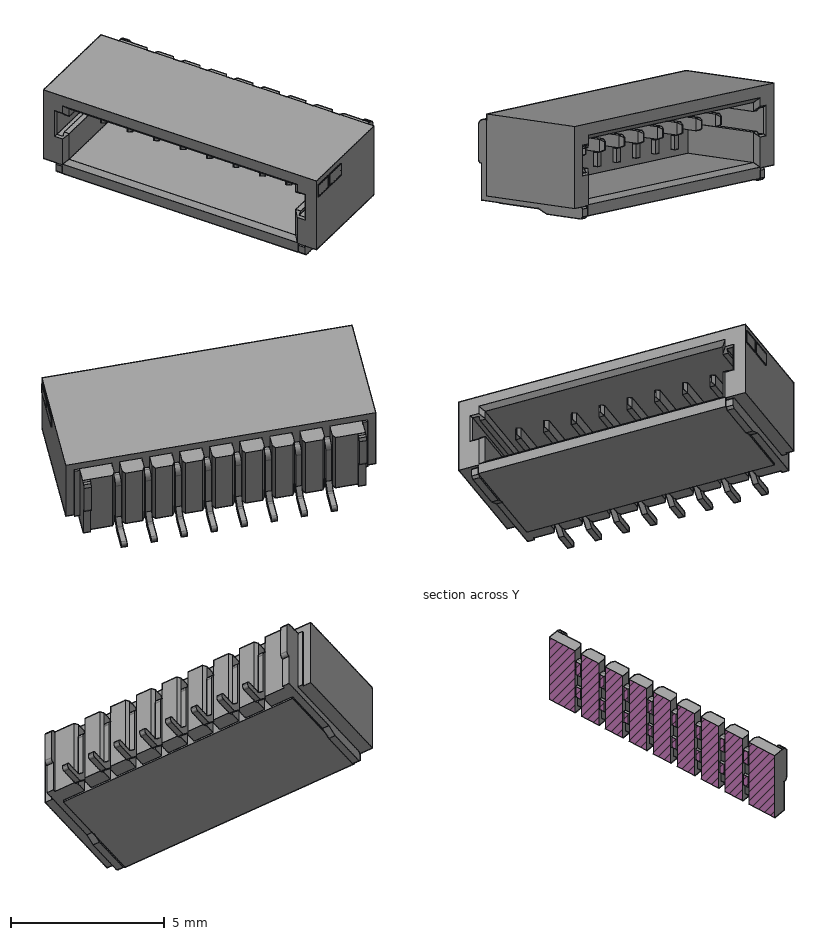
import cadquery as cq
import math


OVERALL_WIDTH = 10.36
PAD_RAISE = 0.03
HOUSING_WIDTH = OVERALL_WIDTH - PAD_RAISE
HALF_WIDTH = HOUSING_WIDTH / 2
HOUSING_DEPTH = 3.69
TOP_Z = 3.14
SIDE_BOTTOM_Z = 0.42
FLOOR_BOTTOM_Z = 0.08

CAVITY_INSET = 0.88
CAVITY_BOTTOM_Z = 0.61
CAVITY_TOP_Z = 2.6
CAVITY_DEPTH = 2.9
CAVITY_FLARE = 0.16

GUIDE_Z = 1.96
GUIDE_INSET = 0.48
GUIDE_HEIGHT = 0.89
GUIDE_FLARE = 0.06
NECK_INSET = 0.69
NECK_HEIGHT = 0.68

PAD_SPANS = [(0.08, 0.74), (0.8, 1.54)]
PAD_BOTTOM_Z = 2.48
PAD_TOP_Z = 2.93

BLOCK_REAR_Y = 4.19
BLOCK_TOP_Z = 2.84
BLOCK_BOTTOM_Z = 0.16
NOTCH_WIDTH = 0.26
NOTCH_CHAMFER_X = 0.08
NOTCH_CHAMFER_Y = 0.12

FITTING_INSET = 0.46
FITTING_WIDTH = 0.25
FITTING_FRONT_Y = 0.03
FITTING_TOP_Z = BLOCK_TOP_Z - 0.01
FITTING_FOOT_Y = 1.53
FITTING_RAMP_Y = 1.91
FITTING_LEG_Y = 4.28
FITTING_REAR_Y = 4.4
FITTING_STEP_Z = 1.38
FITTING_TOP_BEVEL = 0.15
FITTING_BEVEL_CREST_DROP = 0.04
FITTING_STEP_RADIUS = 0.12
FITTING_TOE_CHAMFER = 0.08
FLANGE_INSET = 0.28
FLANGE_THICKNESS = 0.06

CONTACT_COUNT = 8
CONTACT_ROW_LENGTH = 7.0
CONTACT_PITCH = CONTACT_ROW_LENGTH / (CONTACT_COUNT - 1)
CONTACT_WIDTH = 0.2
TAIL_END_Y = 5.05
TAIL_THICKNESS = 0.24
TAIL_END_RADIUS = 0.09
TAIL_BEND_BOTTOM_Y = 4.3
TAIL_BEND_TOP_Y = 4.39
TAIL_BEND_RADIUS = 0.09
LEG_REAR_Y = 4.12
LEG_FRONT_Y = 3.86
LEG_REAR_RADIUS = LEG_REAR_Y - LEG_FRONT_Y
LEG_FRONT_RADIUS = LEG_FRONT_Y - HOUSING_DEPTH
PIN_BOTTOM_Z = 1.82
PIN_TOP_Z = 2.24
LEG_TOP_Z = PIN_TOP_Z + LEG_FRONT_RADIUS
PIN_SHOULDER_Y = 1.04
PIN_TIP_LENGTH = 0.16
PIN_TIP_WIDTH = 0.04
PIN_TIP_HEIGHT = 0.27
STUB_BOTTOM_Z = 0.86
STUB_TOP_Z = 1.33
STUB_FRONT_Y = 2.75


def block(x_range, y_range, z_range):
    """Box between the given pairs of limits."""
    limits = (x_range, y_range, z_range)
    size = [high - low for low, high in limits]
    corner = [low for low, high in limits]
    return cq.Workplane("XY").box(*size, centered=False).translate(tuple(corner))


def taper(x, z, front_y, front_size, rear_y, rear_size):
    """Solid along +Y whose rectangular section changes from front_size to rear_size."""
    return (
        cq.Workplane("XZ", origin=(x, front_y, z))
        .rect(*front_size)
        .workplane(offset=front_y - rear_y)
        .rect(*rear_size)
        .loft()
    )


def flared_opening(width, height, z, flare):
    """Rectangular cut as deep as the cavity with a 45 degree flare at the mating face."""
    straight = block((-width / 2, width / 2), (0, CAVITY_DEPTH), (z - height / 2, z + height / 2))
    mouth = taper(0, z, 0, (width + 2 * flare, height + 2 * flare), flare, (width, height))
    return straight.union(mouth)


def make_shell():
    shell = block((-HALF_WIDTH, HALF_WIDTH), (0, HOUSING_DEPTH), (SIDE_BOTTOM_Z, TOP_Z))
    floor_half = HALF_WIDTH - FITTING_INSET - FITTING_WIDTH
    floor_z = (FLOOR_BOTTOM_Z, CAVITY_BOTTOM_Z - CAVITY_FLARE)
    shell = shell.union(block((-floor_half, floor_half), (0, HOUSING_DEPTH), floor_z))

    cavity = flared_opening(
        HOUSING_WIDTH - 2 * CAVITY_INSET,
        CAVITY_TOP_Z - CAVITY_BOTTOM_Z,
        (CAVITY_TOP_Z + CAVITY_BOTTOM_Z) / 2,
        CAVITY_FLARE,
    )
    neck_width = HOUSING_WIDTH - 2 * NECK_INSET
    neck_flare = (GUIDE_HEIGHT - NECK_HEIGHT) / 2 + GUIDE_FLARE
    neck = block(
        (-neck_width / 2, neck_width / 2),
        (0, CAVITY_DEPTH),
        (GUIDE_Z - NECK_HEIGHT / 2, GUIDE_Z + NECK_HEIGHT / 2),
    )
    neck_mouth = taper(
        0, GUIDE_Z, 0, (neck_width, NECK_HEIGHT + 2 * neck_flare), neck_flare, (neck_width, NECK_HEIGHT)
    )
    guide_width = HOUSING_WIDTH - 2 * GUIDE_INSET
    guide_mouth = taper(
        0,
        GUIDE_Z,
        0,
        (guide_width + 2 * GUIDE_FLARE, GUIDE_HEIGHT + 2 * GUIDE_FLARE),
        GUIDE_FLARE,
        (guide_width, GUIDE_HEIGHT),
    )
    shell = shell.cut(cavity).cut(neck).cut(neck_mouth).cut(guide_mouth)

    guide = block(
        (-guide_width / 2, -neck_width / 2),
        (0, CAVITY_DEPTH),
        (GUIDE_Z - GUIDE_HEIGHT / 2, GUIDE_Z + GUIDE_HEIGHT / 2),
    )
    return shell.cut(guide).cut(guide.mirror("YZ"))


def make_pads():
    x_range = (HALF_WIDTH - PAD_RAISE, HALF_WIDTH + PAD_RAISE)
    pads = cq.Workplane("XY")
    for span in PAD_SPANS:
        pads = pads.union(block(x_range, span, (PAD_BOTTOM_Z, PAD_TOP_Z)))
    return pads


def make_rear_block(contact_xs):
    half = HALF_WIDTH - FITTING_INSET
    rear = block((-half, half), (HOUSING_DEPTH, BLOCK_REAR_Y), (BLOCK_BOTTOM_Z, BLOCK_TOP_Z))
    notch_half = NOTCH_WIDTH / 2
    mouth_half = notch_half + NOTCH_CHAMFER_X
    throat_y = BLOCK_REAR_Y - NOTCH_CHAMFER_Y
    notch = (
        cq.Workplane("XY", origin=(0, 0, BLOCK_BOTTOM_Z))
        .polyline(
            [
                (-notch_half, HOUSING_DEPTH),
                (notch_half, HOUSING_DEPTH),
                (notch_half, throat_y),
                (mouth_half, BLOCK_REAR_Y),
                (-mouth_half, BLOCK_REAR_Y),
                (-notch_half, throat_y),
            ]
        )
        .close()
        .extrude(BLOCK_TOP_Z - BLOCK_BOTTOM_Z)
    )
    for x in contact_xs:
        rear = rear.cut(notch.translate((x, 0, 0)))
    return rear


def make_left_fitting():
    """Hold-down at the -X end: a foot strip under the end wall and an upright behind it."""
    left_x = -HALF_WIDTH + FITTING_INSET
    toe = FITTING_TOE_CHAMFER
    strip_and_upright = (
        cq.Workplane("YZ", origin=(left_x, 0, 0))
        .moveTo(FITTING_FRONT_Y + toe, 0)
        .lineTo(FITTING_FOOT_Y, 0)
        .lineTo(FITTING_RAMP_Y, BLOCK_BOTTOM_Z)
        .lineTo(FITTING_LEG_Y, BLOCK_BOTTOM_Z)
        .lineTo(FITTING_LEG_Y, FITTING_STEP_Z)
        .radiusArc((FITTING_REAR_Y, FITTING_STEP_Z + FITTING_STEP_RADIUS), -FITTING_STEP_RADIUS)
        .lineTo(FITTING_REAR_Y, FITTING_TOP_Z - FITTING_TOP_BEVEL)
        .lineTo(FITTING_REAR_Y - FITTING_TOP_BEVEL / 2, FITTING_TOP_Z - FITTING_BEVEL_CREST_DROP)
        .lineTo(FITTING_REAR_Y - FITTING_TOP_BEVEL, FITTING_TOP_Z)
        .lineTo(HOUSING_DEPTH, FITTING_TOP_Z)
        .lineTo(HOUSING_DEPTH, SIDE_BOTTOM_Z)
        .lineTo(FITTING_FRONT_Y + toe, SIDE_BOTTOM_Z)
        .lineTo(FITTING_FRONT_Y, SIDE_BOTTOM_Z - toe)
        .lineTo(FITTING_FRONT_Y, toe)
        .close()
        .extrude(FITTING_WIDTH)
    )
    flange = block(
        (-HALF_WIDTH + FLANGE_INSET, left_x + FITTING_WIDTH),
        (HOUSING_DEPTH, HOUSING_DEPTH + FLANGE_THICKNESS),
        (SIDE_BOTTOM_Z, FITTING_TOP_Z),
    )
    return strip_and_upright.union(flange)


def make_contact():
    """Contact at x = 0: solder tail, upright leg, pointed mating pin and a short lower stub."""
    bend_tangent = TAIL_BEND_RADIUS * math.tan(math.radians(22.5))
    bend_offset = bend_tangent * math.sin(math.radians(45))
    bend_rise = TAIL_BEND_TOP_Y - LEG_REAR_Y
    bend_run = TAIL_BEND_BOTTOM_Y - LEG_FRONT_Y
    frame = (
        cq.Workplane("YZ", origin=(-CONTACT_WIDTH / 2, 0, 0))
        .moveTo(TAIL_BEND_BOTTOM_Y, 0)
        .lineTo(TAIL_END_Y - TAIL_END_RADIUS, 0)
        .radiusArc((TAIL_END_Y, TAIL_END_RADIUS), -TAIL_END_RADIUS)
        .lineTo(TAIL_END_Y, TAIL_THICKNESS - TAIL_END_RADIUS)
        .radiusArc((TAIL_END_Y - TAIL_END_RADIUS, TAIL_THICKNESS), -TAIL_END_RADIUS)
        .lineTo(TAIL_BEND_TOP_Y + bend_tangent, TAIL_THICKNESS)
        .radiusArc((TAIL_BEND_TOP_Y - bend_offset, TAIL_THICKNESS + bend_offset), TAIL_BEND_RADIUS)
        .lineTo(LEG_REAR_Y, TAIL_THICKNESS + bend_rise)
        .lineTo(LEG_REAR_Y, LEG_TOP_Z - LEG_REAR_RADIUS)
        .radiusArc((LEG_FRONT_Y, LEG_TOP_Z), -LEG_REAR_RADIUS)
        .radiusArc((HOUSING_DEPTH, PIN_TOP_Z), -LEG_FRONT_RADIUS)
        .lineTo(PIN_SHOULDER_Y, PIN_TOP_Z)
        .lineTo(PIN_SHOULDER_Y, PIN_BOTTOM_Z)
        .lineTo(LEG_FRONT_Y, PIN_BOTTOM_Z)
        .lineTo(LEG_FRONT_Y, STUB_TOP_Z)
        .lineTo(STUB_FRONT_Y, STUB_TOP_Z)
        .lineTo(STUB_FRONT_Y, STUB_BOTTOM_Z)
        .lineTo(LEG_FRONT_Y, STUB_BOTTOM_Z)
        .lineTo(LEG_FRONT_Y, bend_run)
        .close()
        .extrude(CONTACT_WIDTH)
    )
    tip = taper(
        0,
        (PIN_BOTTOM_Z + PIN_TOP_Z) / 2,
        PIN_SHOULDER_Y - PIN_TIP_LENGTH,
        (PIN_TIP_WIDTH, PIN_TIP_HEIGHT),
        PIN_SHOULDER_Y,
        (CONTACT_WIDTH, PIN_TOP_Z - PIN_BOTTOM_Z),
    )
    return frame.union(tip)


contact_xs = [i * CONTACT_PITCH - CONTACT_ROW_LENGTH / 2 for i in range(CONTACT_COUNT)]

result = make_shell().union(make_pads()).union(make_rear_block(contact_xs))

left_fitting = make_left_fitting()
result = result.union(left_fitting).union(left_fitting.mirror("YZ"))

contact = make_contact()
for x in contact_xs:
    result = result.union(contact.translate((x, 0, 0)))